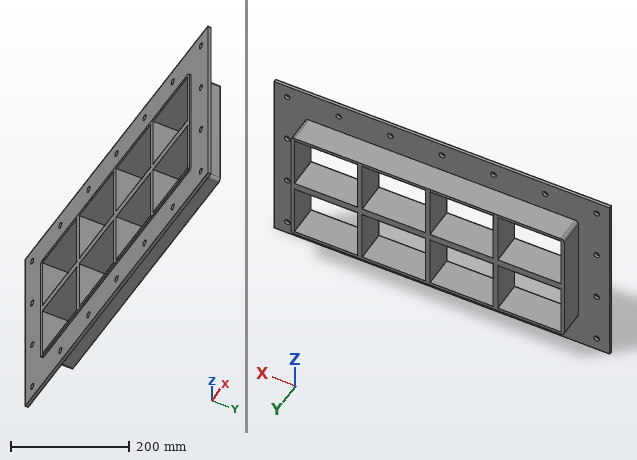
import cadquery as cq

plate_length = 644.0
plate_height = 346.0
plate_thickness = 6.0

frame_border = 60.0
frame_length = plate_length - 2 * frame_border
frame_height = plate_height - 2 * frame_border
frame_depth = 60.0
frame_lip = 3.0
corner_radius = 6.5

columns = 4
rows = 2
window_length = 121.0
window_height = 100.5
upright_width = 9.0
crossbar_width = 13.5

hole_diameter = 10.0
hole_margin = 25.0
holes_along_length = 7
holes_along_height = 4


def block(length, height, front, depth):
    """Box centred on X and Z that runs from y = front towards +Y."""
    return cq.Workplane("XY").box(length, depth, height).translate((0, front + depth / 2, 0))


def bolt_hole_centers():
    """Evenly spaced points on the rectangle set in from the plate edge."""
    span_x = plate_length - 2 * hole_margin
    span_z = plate_height - 2 * hole_margin
    pitch_x = span_x / (holes_along_length - 1)
    pitch_z = span_z / (holes_along_height - 1)
    centers = []
    for column in range(holes_along_length):
        for row in range(holes_along_height):
            on_side = column in (0, holes_along_length - 1)
            on_top_or_bottom = row in (0, holes_along_height - 1)
            if on_side or on_top_or_bottom:
                centers.append((column * pitch_x - span_x / 2, row * pitch_z - span_z / 2))
    return centers


plate = block(plate_length, plate_height, frame_lip, plate_thickness)
frame = block(frame_length, frame_height, 0, frame_depth).edges("|Y").fillet(corner_radius)

windows = (
    cq.Workplane("XZ")
    .rarray(window_length + upright_width, window_height + crossbar_width, columns, rows)
    .rect(window_length, window_height)
    .extrude(-frame_depth)
)
bolt_holes = (
    cq.Workplane("XZ")
    .pushPoints(bolt_hole_centers())
    .circle(hole_diameter / 2)
    .extrude(-frame_depth)
)

result = plate.union(frame).cut(windows).cut(bolt_holes)